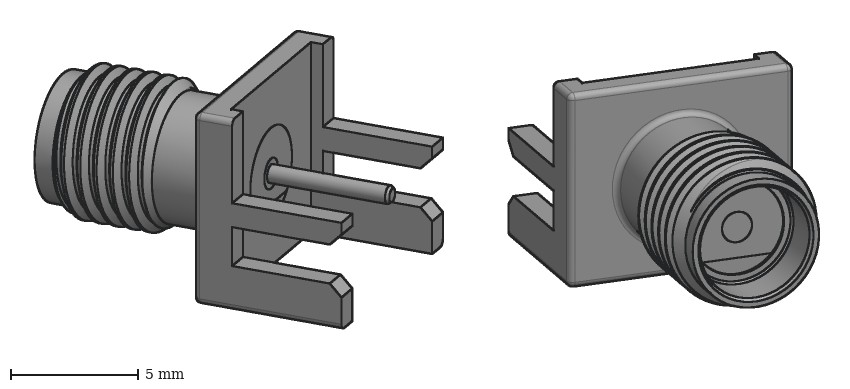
import cadquery as cq
import math


total_length = 14.27
flange_front = 7.87
plate_back = 9.02
rib_back = 9.53

flange_width = 9.525
flange_height = 8.12
flange_offset_z = 0.115
flange_fillet = 0.254
leg_width = 1.016
leg_chamfer = 0.508
upper_leg_top = 0.64
upper_leg_bottom = -0.38
lower_leg_top = -2.04

barrel_diameter = 5.36
barrel_fillet = 0.25
thread_diameter = 6.25
thread_root_diameter = 5.53
thread_start = 0.785
thread_end = 5.09
thread_pitch = 25.4 / 36
thread_crest_flat = 0.12
thread_half_angle = 30
first_crest = 1.257
thread_turns = 8
thread_envelope_clearance = 0.1
thread_root_overlap = 0.065

bore_diameter = 4.64
bore_entry_chamfer = 0.12
bore_depth = 1.9
shoulder_diameter = 4.45
insulator_diameter = 3.91
insulator_recess = 0.1
insulator_front = bore_depth + insulator_recess
key_top = -1.29

contact_diameter = 1.27
tail_diameter = 0.76
tail_chamfer_length = 0.14
tail_end_diameter = 0.56


def turned(points):
    """Revolve a closed outline of (x, radius) points about the X axis."""
    return cq.Workplane("XY").polyline(points).close().revolve(360, (0, 0, 0), (1, 0, 0))


def rod(diameter, start, end):
    """Round rod on the X axis between two stations."""
    return cq.Workplane("YZ", origin=(start, 0, 0)).circle(diameter / 2).extrude(end - start)


def make_flange():
    """Flange plate with a rib down each side and two legs on each rib."""
    bottom = flange_offset_z - flange_height / 2
    top = flange_offset_z + flange_height / 2
    half_width = flange_width / 2
    outline = [
        (flange_front, bottom),
        (total_length, bottom),
        (total_length, lower_leg_top - leg_chamfer),
        (total_length - leg_chamfer, lower_leg_top),
        (rib_back, lower_leg_top),
        (rib_back, upper_leg_bottom),
        (total_length - leg_chamfer, upper_leg_bottom),
        (total_length, upper_leg_bottom + leg_chamfer),
        (total_length, upper_leg_top),
        (rib_back, upper_leg_top),
        (rib_back, top),
        (flange_front, top),
    ]
    block = cq.Workplane("XZ", origin=(0, half_width, 0)).polyline(outline).close().extrude(flange_width)
    corners = block.edges("|X").edges("<Z or >Z")
    block = corners.fillet(flange_fillet).faces("<X").edges().fillet(flange_fillet)
    gap = cq.Workplane("XY").box(
        total_length - plate_back,
        flange_width - 2 * leg_width,
        2 * flange_height,
        centered=(False, True, True),
    ).translate((plate_back, 0, 0))
    return block.cut(gap)


def make_barrel_core():
    """Solid barrel with the thread root cylinder and the fillet into the flange."""
    barrel_radius = barrel_diameter / 2
    root_radius = thread_root_diameter / 2
    root_step = root_radius - barrel_radius
    outline = (
        cq.Workplane("XY")
        .moveTo(0, 0)
        .lineTo(0, barrel_radius)
        .lineTo(thread_start, barrel_radius)
        .lineTo(thread_start + root_step, root_radius)
        .lineTo(thread_end - root_step, root_radius)
        .lineTo(thread_end, barrel_radius)
        .lineTo(flange_front - barrel_fillet, barrel_radius)
        .radiusArc((flange_front, barrel_radius + barrel_fillet), -barrel_fillet)
        .lineTo(plate_back, barrel_radius + barrel_fillet)
        .lineTo(plate_back, 0)
        .close()
    )
    return outline.revolve(360, (0, 0, 0), (1, 0, 0))


def make_thread_envelope():
    """Round blank with 45 degree ends that trims both ends of the thread; it clears the crests."""
    barrel_radius = barrel_diameter / 2
    height = (thread_diameter - barrel_diameter) / 2 + thread_envelope_clearance
    return turned([
        (thread_start, 0),
        (thread_start, barrel_radius),
        (thread_start + height, barrel_radius + height),
        (thread_end - height, barrel_radius + height),
        (thread_end, barrel_radius),
        (thread_end, 0),
    ])


def make_thread_ridge():
    """Right-handed helical ridge around the X axis, chamfered at both ends."""
    base_radius = thread_root_diameter / 2 - thread_root_overlap
    crest_radius = thread_diameter / 2
    crest_half = thread_crest_flat / 2
    base_half = crest_half + (crest_radius - base_radius) * math.tan(math.radians(thread_half_angle))
    helix = cq.Wire.makeHelix(thread_pitch, thread_turns * thread_pitch, base_radius)
    ridge = (
        cq.Workplane("XZ")
        .polyline([
            (base_radius, -base_half),
            (base_radius, base_half),
            (crest_radius, crest_half),
            (crest_radius, -crest_half),
        ])
        .close()
        .sweep(cq.Workplane(obj=helix), isFrenet=True)
    )
    ridge_start = first_crest - 1.5 * thread_pitch
    ridge = ridge.rotate((0, 0, 0), (0, 1, 0), 90).translate((ridge_start, 0, 0))
    return ridge.intersect(make_thread_envelope())


def make_bore():
    """Mating bore with a chamfer at its mouth and floor, and the insulator hole behind it."""
    bore_radius = bore_diameter / 2
    shoulder_radius = shoulder_diameter / 2
    insulator_radius = insulator_diameter / 2
    return turned([
        (0, 0),
        (0, bore_radius + bore_entry_chamfer),
        (bore_entry_chamfer, bore_radius),
        (bore_depth - (bore_radius - shoulder_radius), bore_radius),
        (bore_depth, shoulder_radius),
        (bore_depth, insulator_radius),
        (plate_back, insulator_radius),
        (plate_back, 0),
    ])


def make_housing():
    barrel = make_barrel_core().union(make_thread_ridge())
    return make_flange().union(barrel).cut(make_bore())


def make_contact():
    """Centre contact: thick front inside the insulator and a thin solder tail."""
    contact_radius = contact_diameter / 2
    tail_radius = tail_diameter / 2
    return turned([
        (insulator_front, 0),
        (insulator_front, contact_radius),
        (plate_back, contact_radius),
        (plate_back, tail_radius),
        (total_length - tail_chamfer_length, tail_radius),
        (total_length, tail_end_diameter / 2),
        (total_length, 0),
    ])


def make_core_segment(above_flat):
    """Part of the round core in the insulator hole, above or below the flat."""
    core = rod(insulator_diameter, insulator_front, plate_back)
    half_space = cq.Workplane("XY").box(
        total_length,
        insulator_diameter,
        insulator_diameter,
        centered=(False, True, False),
    )
    shift = key_top if above_flat else key_top - insulator_diameter
    return core.intersect(half_space.translate((0, 0, shift)))


housing = make_housing()
insulator = make_core_segment(True).cut(rod(contact_diameter, insulator_front, plate_back))
key = make_core_segment(False)
contact = make_contact()

result = cq.Compound.makeCompound([housing.val(), insulator.val(), key.val(), contact.val()])